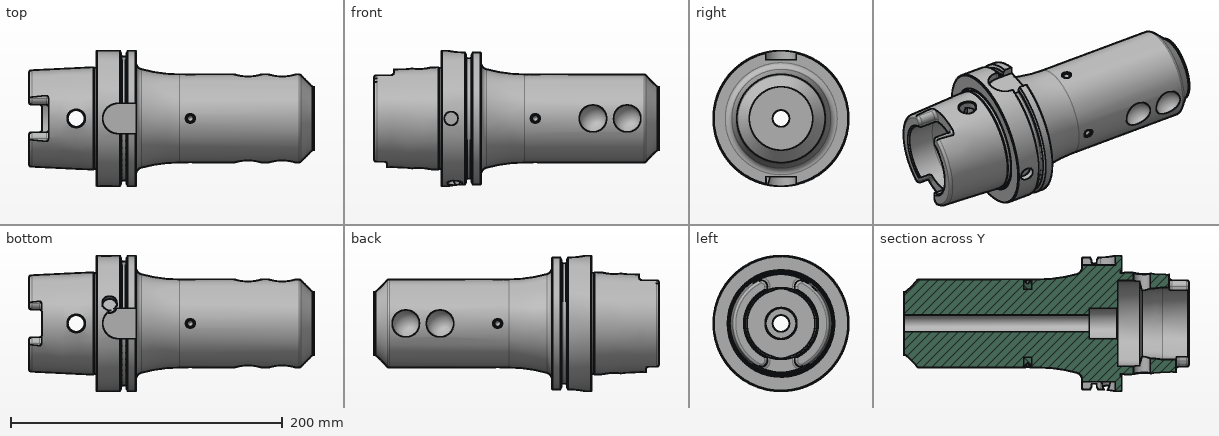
import cadquery as cq
import math

total_length = 210.0

taper_end_radius = 35.5
taper_base_radius = 37.8
taper_base_x = 47.2
lug_edge_fillet = 2.0
undercut_radius = 37.4
undercut_start_x = 48.0

flange_start_x = 49.5
flange_end_x = 79.0
flange_radius = 50.0
flange_chamfer = 0.6
face_groove_radius = 39.5
face_groove_depth = 0.8
groove_center_x = 70.0
groove_mouth_half_width = 3.0
groove_wall_half_width = 1.9
groove_wall_radius = 47.9
groove_floor_radius = 45.8
groove_floor_fillet = 0.8

neck_fillet = 5.0
neck_sweep_radius = 105.0
neck_end_x = 110.9
nose_radius = 32.5
nose_blend_start_x = 198.7
nose_blend_radius = 2.0
nose_cone_angle = 45.0
nose_tip_band = 1.3

bore_radius = 26.5
bore_mouth_chamfer = 1.0
inner_bore_radius = 25.0
bore_cone_start_x = 20.0
bore_cone_end_x = 34.6
clamp_groove_radius = 31.5
clamp_groove_x = 36.5
bore_depth = 52.5
thread_bore_radius = 11.1
thread_bore_chamfer = 0.6
thread_bore_depth = 21.0
coolant_bore_radius = 6.0

slot_half_width = 10.0
slot_edge_radius = 4.6
slot_shoulder_height = 32.0
slot_corner_fillet = 1.9
top_slot_depth = 14.7
bottom_slot_depth = 9.7

cross_hole_x = 34.9
cross_hole_radius = 6.0
cross_hole_chamfer = 0.6

keyway_start_x = 54.4
keyway_half_width = 11.1
keyway_floor_height = 43.0

chip_hole_x = 57.0
chip_hole_radius = 5.0
chip_hole_depth = 4.6
side_hole_x = 59.5
side_hole_radius = 5.5
side_hole_angle = 17.5
side_hole_depth = 7.4

seat_xs = (161.3, 186.5)
seat_radius = 10.0

screw_count = 4
screw_x = 118.9
screw_radius = 2.7
screw_length = 6.3
screw_setback = 1.0
recess_radius = 2.3
recess_depth = 2.3
screw_hole_chamfer = 0.8


def polar(center, radius, angle):
    """Point at an angle in degrees, measured from +X, on a circle in the profile plane."""
    return (
        center[0] + radius * math.cos(math.radians(angle)),
        center[1] + radius * math.sin(math.radians(angle)),
    )


def turned_outside():
    """Outside of the holder; the neck fillet is tangent to the flange face and to the neck sweep."""
    sweep_center = (neck_end_x, nose_radius + neck_sweep_radius)
    fillet_x = flange_end_x + neck_fillet
    center_gap = neck_sweep_radius - neck_fillet
    fillet_center = (
        fillet_x,
        sweep_center[1] - math.sqrt(center_gap**2 - (neck_end_x - fillet_x) ** 2),
    )
    joint_angle = 180 + math.degrees(
        math.atan2(sweep_center[1] - fillet_center[1], neck_end_x - fillet_x)
    )
    blend_center = (nose_blend_start_x, nose_radius - nose_blend_radius)
    cone_start = polar(blend_center, nose_blend_radius, 90 - nose_cone_angle)
    tip_x = total_length - nose_tip_band
    tip_radius = cone_start[1] - (tip_x - cone_start[0]) * math.tan(math.radians(nose_cone_angle))
    groove_fillet_offset = groove_floor_fillet * (1 - math.cos(math.radians(45)))
    left_wall_x = groove_center_x - groove_wall_half_width
    right_wall_x = groove_center_x + groove_wall_half_width
    fillet_top = groove_floor_radius + groove_floor_fillet
    fillet_mid = groove_floor_radius + groove_fillet_offset
    profile = (
        cq.Workplane("XY")
        .moveTo(0, 0)
        .lineTo(0, taper_end_radius)
        .lineTo(taper_base_x, taper_base_radius)
        .lineTo(undercut_start_x, undercut_radius)
        .lineTo(flange_start_x + face_groove_depth, undercut_radius)
        .lineTo(flange_start_x + face_groove_depth, face_groove_radius - face_groove_depth)
        .lineTo(flange_start_x, face_groove_radius)
        .lineTo(flange_start_x, flange_radius - flange_chamfer)
        .lineTo(flange_start_x + flange_chamfer, flange_radius)
        .lineTo(groove_center_x - groove_mouth_half_width, flange_radius)
        .lineTo(left_wall_x, groove_wall_radius)
        .lineTo(left_wall_x, fillet_top)
        .threePointArc(
            (left_wall_x + groove_fillet_offset, fillet_mid),
            (left_wall_x + groove_floor_fillet, groove_floor_radius),
        )
        .lineTo(right_wall_x - groove_floor_fillet, groove_floor_radius)
        .threePointArc(
            (right_wall_x - groove_fillet_offset, fillet_mid),
            (right_wall_x, fillet_top),
        )
        .lineTo(right_wall_x, groove_wall_radius)
        .lineTo(groove_center_x + groove_mouth_half_width, flange_radius)
        .lineTo(flange_end_x - flange_chamfer, flange_radius)
        .lineTo(flange_end_x, flange_radius - flange_chamfer)
        .lineTo(*polar(fillet_center, neck_fillet, 180))
        .threePointArc(
            polar(fillet_center, neck_fillet, (180 + joint_angle) / 2),
            polar(fillet_center, neck_fillet, joint_angle),
        )
        .threePointArc(
            polar(sweep_center, neck_sweep_radius, (joint_angle + 270) / 2),
            (neck_end_x, nose_radius),
        )
        .lineTo(nose_blend_start_x, nose_radius)
        .threePointArc(polar(blend_center, nose_blend_radius, 90 - nose_cone_angle / 2), cone_start)
        .lineTo(tip_x, tip_radius)
        .lineTo(total_length, tip_radius)
        .lineTo(total_length, 0)
        .close()
    )
    return profile.revolve(360, (0, 0, 0), (1, 0, 0))


def axial_bore():
    """Stepped bore with a clamping lip and groove, a thread bore and a coolant hole."""
    thread_end_x = bore_depth + thread_bore_depth
    profile = (
        cq.Workplane("XY")
        .moveTo(0, 0)
        .lineTo(0, bore_radius + bore_mouth_chamfer)
        .lineTo(bore_mouth_chamfer, bore_radius)
        .lineTo(bore_cone_start_x, bore_radius)
        .lineTo(bore_cone_end_x, inner_bore_radius)
        .lineTo(clamp_groove_x, clamp_groove_radius)
        .lineTo(bore_depth, clamp_groove_radius)
        .lineTo(bore_depth, thread_bore_radius + thread_bore_chamfer)
        .lineTo(bore_depth + thread_bore_chamfer, thread_bore_radius)
        .lineTo(thread_end_x, thread_bore_radius)
        .lineTo(thread_end_x, coolant_bore_radius)
        .lineTo(total_length, coolant_bore_radius)
        .lineTo(total_length, 0)
        .close()
    )
    return profile.revolve(360, (0, 0, 0), (1, 0, 0))


def drive_slot(depth):
    """Slot above the axis: straight walls that round over onto a flat shoulder."""
    reach = 2 * slot_half_width + slot_edge_radius
    round_start = slot_shoulder_height - slot_edge_radius
    round_end = slot_half_width + slot_edge_radius
    rise = slot_edge_radius * math.sin(math.radians(45))
    profile = (
        cq.Workplane("YZ")
        .moveTo(-slot_half_width, 0)
        .lineTo(slot_half_width, 0)
        .lineTo(slot_half_width, round_start)
        .threePointArc((round_end - rise, round_start + rise), (round_end, slot_shoulder_height))
        .lineTo(reach, slot_shoulder_height)
        .lineTo(reach, flange_radius)
        .lineTo(-reach, flange_radius)
        .lineTo(-reach, slot_shoulder_height)
        .lineTo(-round_end, slot_shoulder_height)
        .threePointArc((rise - round_end, round_start + rise), (-slot_half_width, round_start))
        .close()
    )
    return profile.extrude(depth).faces(">X").edges("not(>Z or <Z)").fillet(slot_corner_fillet)


def drive_lugs(blank):
    """Cut both drive slots, then round the outer rim and the slot flanks at the shank end."""
    slotted = blank.cut(drive_slot(top_slot_depth)).cut(drive_slot(bottom_slot_depth).mirror("XY"))
    return slotted.faces("<X").edges().fillet(lug_edge_fillet)


def cross_hole(blank):
    """Drill through the shank from top to bottom and break the edges at the taper."""
    drill = cq.Workplane("XY", origin=(cross_hole_x, 0, -flange_radius))
    drilled = blank.cut(drill.circle(cross_hole_radius).extrude(2 * flange_radius))
    near = cross_hole_x - cross_hole_radius - cross_hole_chamfer
    far = cross_hole_x + cross_hole_radius + cross_hole_chamfer
    for side in (-1, 1):
        box = cq.selectors.BoxSelector(
            (near, -cross_hole_radius, side * bore_radius),
            (far, cross_hole_radius, side * flange_radius),
        )
        drilled = drilled.edges(box).edges("not %LINE").chamfer(cross_hole_chamfer)
    return drilled


def flange_keyway():
    """Round-nosed keyway above the axis, open toward the front of the flange."""
    nose_x = keyway_start_x + keyway_half_width
    return (
        cq.Workplane("XY", origin=(0, 0, keyway_floor_height))
        .moveTo(flange_end_x, -keyway_half_width)
        .lineTo(nose_x, -keyway_half_width)
        .threePointArc((keyway_start_x, 0), (nose_x, keyway_half_width))
        .lineTo(flange_end_x, keyway_half_width)
        .close()
        .extrude(flange_radius)
    )


def flange_hole(x, radius, depth, angle_from_bottom):
    """Blind radial hole in the flange rim, turned from -Z toward -Y."""
    hole = cq.Workplane("XY", origin=(x, 0, -flange_radius)).circle(radius).extrude(depth)
    return hole.rotate((0, 0, 0), (1, 0, 0), -angle_from_bottom)


def screw_place(shape, index):
    """Turn a shape from +Z to one of the evenly spaced screw places."""
    return shape.rotate((0, 0, 0), (1, 0, 0), index * 360 / screw_count)


def screw_hole():
    """Blind hole from +Z that fits one screw and has a countersunk mouth."""
    chamfer_radius = screw_radius + screw_hole_chamfer
    bottom = nose_radius - screw_setback - screw_length
    straight = cq.Workplane("XY", origin=(screw_x, 0, bottom)).circle(screw_radius).extrude(nose_radius)
    mouth = (
        cq.Workplane("XY", origin=(screw_x, 0, nose_radius - screw_hole_chamfer))
        .circle(screw_radius)
        .workplane(offset=screw_hole_chamfer)
        .circle(chamfer_radius)
        .loft()
    )
    return straight.union(mouth)


def holder_body():
    body = cross_hole(drive_lugs(turned_outside())).cut(axial_bore())
    keyway = flange_keyway()
    body = body.cut(keyway).cut(keyway.mirror("XY"))
    body = body.cut(flange_hole(chip_hole_x, chip_hole_radius, chip_hole_depth, 90))
    body = body.cut(flange_hole(side_hole_x, side_hole_radius, side_hole_depth, side_hole_angle))
    for seat_x in seat_xs:
        for side in (-1, 1):
            body = body.cut(cq.Workplane("XY", origin=(seat_x, side * nose_radius, 0)).sphere(seat_radius))
    for index in range(screw_count):
        body = body.cut(screw_place(screw_hole(), index))
    return body


def coolant_screw(index):
    """Set screw with a conical recess in its head, seated on the bottom of its hole."""
    bottom = nose_radius - screw_setback - screw_length
    screw = cq.Workplane("XY", origin=(screw_x, 0, bottom)).circle(screw_radius).extrude(screw_length)
    top_center = cq.Vector(screw_x, 0, bottom + screw_length)
    recess = cq.Solid.makeCone(recess_radius, 0, recess_depth, top_center, cq.Vector(0, 0, -1))
    screw = screw.cut(cq.Workplane(recess))
    return screw_place(screw, index)


holder = holder_body()
screws = [coolant_screw(index) for index in range(screw_count)]

result = cq.Compound.makeCompound([holder.val(), *[screw.val() for screw in screws]])